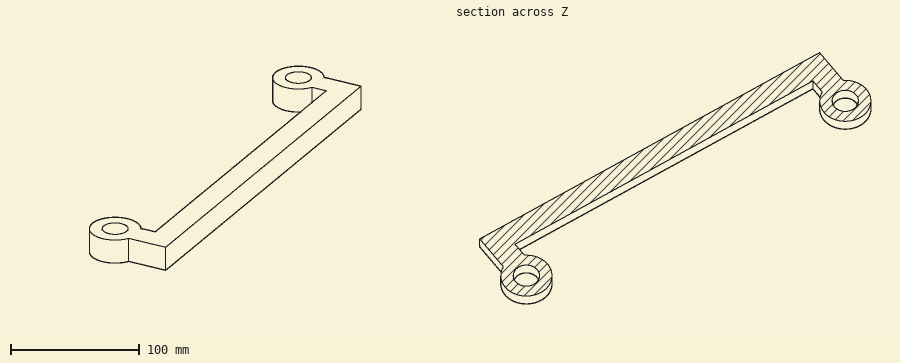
import cadquery as cq

length = 340.0
width = 70.0
bar_size = 20.0
hole_diameter = 20.0
eye_diameter = 40.0

eye_radius = eye_diameter / 2
eye_offset = (length - eye_diameter) / 2
bar_outer_x = width - eye_radius
bar_length = 2 * eye_offset + bar_size
eye_centers = [(0, -eye_offset), (0, eye_offset)]


def make_bar():
    """Long straight bar joining the outer ends of the two arms."""
    return (
        cq.Workplane("XY")
        .center(bar_outer_x - bar_size / 2, 0)
        .rect(bar_size, bar_length)
        .extrude(bar_size)
    )


def make_arms():
    """Short arms from the eye centers to the outer face of the bar."""
    return (
        cq.Workplane("XY")
        .pushPoints([(bar_outer_x / 2, y) for _, y in eye_centers])
        .rect(bar_outer_x, bar_size)
        .extrude(bar_size)
    )


def make_cylinders(diameter):
    """Full-height cylinders at both eye centers."""
    return (
        cq.Workplane("XY")
        .pushPoints(eye_centers)
        .circle(diameter / 2)
        .extrude(bar_size)
    )


handle = make_bar().union(make_arms()).union(make_cylinders(eye_diameter))
result = handle.cut(make_cylinders(hole_diameter))